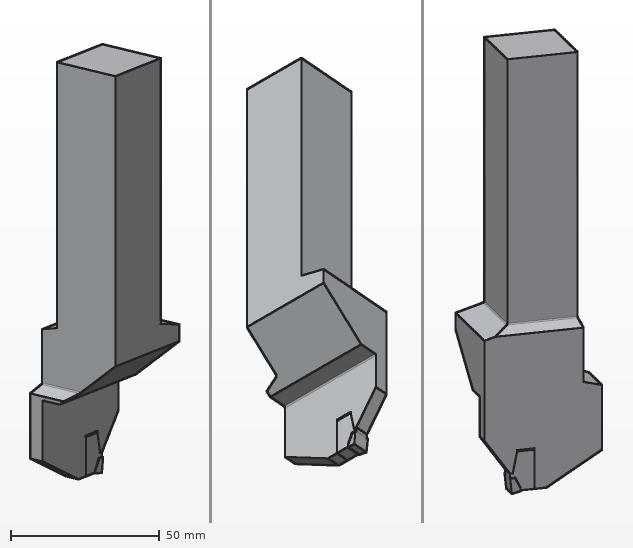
import cadquery as cq
import math


total_height = 152.4
shank_size = 25.0
head_width = 31.4
head_back = 35.2
shank_left = head_width - shank_size
shoulder_height = 58.0
shoulder_slope = math.tan(math.radians(15))
corner_radius = 0.5

slant_top = 49.4
underside_height = 33.8
underside_right = 12.6

blade_thickness = 5.3
blade_front = -6.5
front_shoulder_height = 37.0
blade_bottom = 0.8
bottom_front = 13.3
front_bevel_top = blade_bottom + (bottom_front - blade_front) * math.tan(math.radians(30))
rear_bevel_top = 19.7

insert_front = 17.4
insert_top = 14.8
pocket_clearance = 0.5
insert_top_back = 23.6
seat_back = 25.1
seat_height = 7.2
tip_back = 26.2
cutting_edge_back = 25.6
tip_front = 22.4
tip_front_height = 1.7
tip_heel = 0.5
tip_top = 5.5
tip_top_front = 24.4
tip_overhang = 0.5
tip_front_overhang = 0.08


def extrude_along_x(points, start, length):
    """Prism with a (Y, Z) outline, from X = start."""
    return cq.Workplane("YZ", origin=(start, 0, 0)).polyline(points).close().extrude(length)


def extrude_along_y(points, start, end):
    """Prism with an (X, Z) outline, from Y = start to Y = end."""
    return cq.Workplane("XZ", origin=(0, end, 0)).polyline(points).close().extrude(end - start)


def fillet_edge(body, point):
    """Round the edge closest to the given point."""
    return body.edges(cq.selectors.NearestToPointSelector(point)).fillet(corner_radius)


def make_side_profile():
    """Holder silhouette in Y and Z, through its full width."""
    rear_shoulder = shoulder_height - (head_back - shank_size) * shoulder_slope
    front_shoulder = front_shoulder_height + blade_front * shoulder_slope
    profile = extrude_along_x([
        (0, total_height),
        (shank_size, total_height),
        (shank_size, shoulder_height),
        (head_back, rear_shoulder),
        (head_back, rear_bevel_top),
        (tip_back, seat_height),
        (seat_back, seat_height),
        (seat_back, blade_bottom),
        (bottom_front, blade_bottom),
        (blade_front, front_bevel_top),
        (blade_front, front_shoulder),
        (0, front_shoulder_height),
    ], 0, head_width)
    profile = fillet_edge(profile, (head_width / 2, shank_size, shoulder_height))
    return fillet_edge(profile, (head_width / 2, 0, front_shoulder_height))


def make_front_profile():
    """Holder silhouette in X and Z, through its full depth."""
    middle = (blade_front + head_back) / 2
    profile = extrude_along_y([
        (shank_left, total_height),
        (head_width, total_height),
        (head_width, slant_top),
        (underside_right, underside_height),
        (blade_thickness, underside_height),
        (blade_thickness, 0),
        (0, 0),
        (0, shoulder_height - shank_left * shoulder_slope),
        (shank_left, shoulder_height),
    ], blade_front, head_back)
    profile = fillet_edge(profile, (shank_left, middle, shoulder_height))
    return fillet_edge(profile, (blade_thickness, middle, underside_height))


def make_pocket():
    """Seat for the insert, open at the bottom and through the blade."""
    return extrude_along_x([
        (insert_front, 0),
        (insert_front, insert_top + pocket_clearance),
        (insert_top_back, insert_top + pocket_clearance),
        (insert_top_back, insert_top),
        (seat_back, seat_height),
        (seat_back, 0),
    ], 0, blade_thickness)


def make_holder():
    return make_side_profile().intersect(make_front_profile()).cut(make_pocket())


def make_insert():
    """Cutting insert with a tip wider than the blade."""
    upper_back = (tip_back, tip_top)
    cutting_edge = (cutting_edge_back, 0)
    heel = (tip_front, tip_heel)
    body = extrude_along_x([
        (insert_front, blade_bottom),
        (insert_front, insert_top),
        (insert_top_back, insert_top),
        (seat_back, seat_height),
        (tip_back, seat_height),
        upper_back,
        cutting_edge,
        heel,
        (tip_front, blade_bottom),
    ], 0, blade_thickness)
    tip = extrude_along_x([
        upper_back,
        cutting_edge,
        heel,
        (tip_front, tip_front_height),
        (tip_top_front, tip_top),
    ], -tip_overhang, blade_thickness + 2 * tip_overhang)
    side_relief = cq.Workplane("XY").polyline([
        (-tip_overhang, tip_back),
        (blade_thickness + tip_overhang, tip_back),
        (blade_thickness + tip_front_overhang, tip_front),
        (-tip_front_overhang, tip_front),
    ]).close().extrude(tip_top)
    return body.union(tip.intersect(side_relief))


holder = make_holder()
insert = make_insert()
result = cq.Compound.makeCompound([holder.val(), insert.val()])